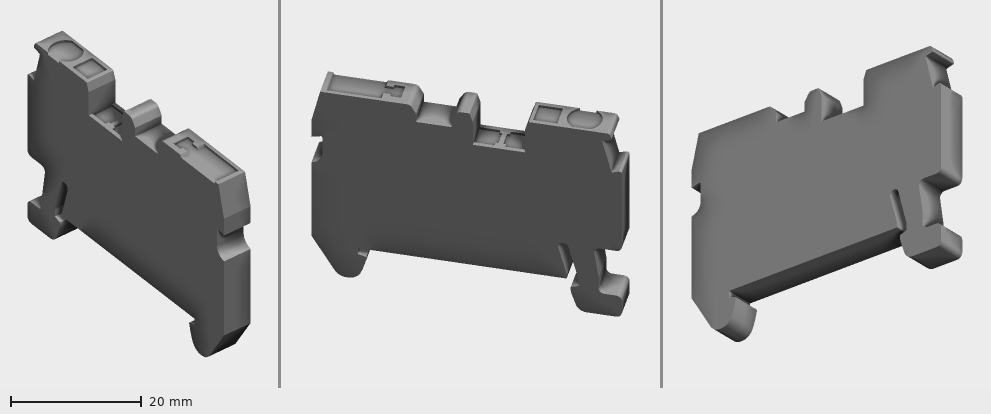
import cadquery as cq
import math

LENGTH = 48.8
THICKNESS = 5.15
HEIGHT = 35.4

ENTRY_LEFT = 15.25
ENTRY_RIGHT = 23.4
ENTRY_FLOOR = 29.4
TEST_LEFT = 26.75
TEST_RIGHT = 32.35
TEST_FLOOR = 32.2
BEVEL_START = 33.8
ENTRY_BEVEL = 0.55
RIDGE_BEVEL = 1.0
MARKER_BEVEL = 0.95
RIGHT_TAPER = 1.35
RIGHT_TAPER_START = 29.55

LIP_X = 1.5
LIP_LEAN = 0.45
LIP_CORNER = 34.25
LIP_UNDERSIDE = 33.85
RECESS_TOP_X = 3.1
RECESS_BOTTOM_X = 1.6
LEDGE_TOP = 28.3
LEDGE_WIDTH = 0.5
LEDGE_GROOVE = 27.9

LATCH_X = 47.1
LATCH_TOP = 26.8
LATCH_BOTTOM = 22.05
LATCH_LIP = 26.35
LATCH_EXIT = 21.35

SEAT_Z = 6.0
BODY_BOTTOM = 12.8
LEG_TOP_X = 4.5
LEG_X = 3.65
LEG_BEND = 7.12
TOE_TOP = 4.1
SLOT_X = 6.85
SLOT_BEND = 6.35
SLOT_BEND_STEP = 0.45
SLOT_WIDTH = 1.8
SLOT_LEAN = math.radians(15)
SLOT_END_RADIUS = 0.8
FOOT_TIP_X = 8.05
FOOT_LEAN = 1.2
FOOT_LEAN_START = 3.6
FOOT_SIDE_RADIUS = 2.95
FOOT_RADIUS = 1.75
HOOK_TIP_X = 40.1
HOOK_SIDE_X = 40.6
HOOK_SIDE_Z = 2.4
HOOK_SIDE_RADIUS = 9.75
HOOK_NOSE_X = 41.6
SEAT_RIGHT = 41.55
CLAW_INNER = 4.9
CLAW_TIP = 4.5
HOOK_SLOPE_TOP = 7.12
HOOK_SLOPE_FOOT_X = 44.5
HOOK_RADIUS = 2.25

EDGE_RADIUS = 0.2
LEDGE_RADIUS = 0.4
LIP_RADIUS = 0.55
RECESS_RADIUS = 0.25
BODY_RADIUS = 0.95
SHOULDER_RADIUS = 1.0
LATCH_RADIUS = 1.85

POCKET_DEPTH = 0.45
SCREW_X = 6.5
SCREW_Y = 2.4
SCREW_RADIUS = 2.75
SCREW_FLAT_Y = 4.75
SQUARE_LEFT = 10.3
SQUARE_SIZE = 3.8
ENTRY_WEB = 1.65
ENTRY_KEY_DEPTH = 0.45
ENTRY_KEY_WIDTH = 2.55
MARKER_LEFT = 37.9
MARKER_RIGHT = 46.6
MARKER_BACK_Y = 4.6
MARKER_LEFT_DRAFT = 0.3
MARKER_RIGHT_DRAFT = 0.2
TEE_Y = 2.35
TEE_LEFT = 35.05
TEE_HEAD_LENGTH = 1.7
TEE_HEAD_WIDTH = 2.85
TEE_NECK_WIDTH = 1.8


def rounded_outline(corners):
    """Closed XZ wire through (x, z, radius) corners; radius 0 stays sharp."""
    spans = []
    for i, (x, z, radius) in enumerate(corners):
        corner = cq.Vector(x, z)
        if radius == 0:
            spans.append((corner, None, corner))
            continue
        before = cq.Vector(*corners[i - 1][:2])
        after = cq.Vector(*corners[(i + 1) % len(corners)][:2])
        back = (before - corner).normalized()
        ahead = (after - corner).normalized()
        half_angle = back.getAngle(ahead) / 2
        setback = radius / math.tan(half_angle)
        arc_gap = radius / math.sin(half_angle) - radius
        middle = corner + (back + ahead).normalized() * arc_gap
        spans.append((corner + back * setback, middle, corner + ahead * setback))

    wire = cq.Workplane("XZ").moveTo(*spans[0][2].toTuple()[:2])
    for start, middle, end in spans[1:] + spans[:1]:
        wire = wire.lineTo(*start.toTuple()[:2])
        if middle is not None:
            wire = wire.threePointArc(middle.toTuple()[:2], end.toTuple()[:2])
    return wire


def housing():
    """Full-thickness profile, listed clockwise from the upper left lip."""
    top_side = [
        (LIP_X + LIP_LEAN, HEIGHT, LIP_RADIUS),
        (ENTRY_LEFT - ENTRY_BEVEL, HEIGHT, EDGE_RADIUS),
        (ENTRY_LEFT, BEVEL_START, 0),
        (ENTRY_LEFT, ENTRY_FLOOR, 0),
        (ENTRY_RIGHT, ENTRY_FLOOR, 0),
        (ENTRY_RIGHT, BEVEL_START, 0),
        (ENTRY_RIGHT + ENTRY_BEVEL, HEIGHT, EDGE_RADIUS),
        (TEST_LEFT - RIDGE_BEVEL, HEIGHT, SHOULDER_RADIUS),
        (TEST_LEFT, BEVEL_START, 0),
        (TEST_LEFT, TEST_FLOOR, 0),
        (TEST_RIGHT, TEST_FLOOR, 0),
        (TEST_RIGHT, BEVEL_START, 0),
        (TEST_RIGHT + MARKER_BEVEL, HEIGHT, SHOULDER_RADIUS),
    ]
    right_end = [
        (LENGTH - RIGHT_TAPER, HEIGHT, 0),
        (LENGTH, RIGHT_TAPER_START, 0),
        (LENGTH, LATCH_LIP, 0),
        (LATCH_X, LATCH_TOP, EDGE_RADIUS),
        (LATCH_X, LATCH_BOTTOM, LATCH_RADIUS),
        (LENGTH, LATCH_EXIT, 0),
    ]
    right_hook = [
        (LENGTH, HOOK_SLOPE_TOP, 0),
        (HOOK_SLOPE_FOOT_X, 0, HOOK_RADIUS),
        (HOOK_NOSE_X, 0, HOOK_RADIUS),
        (HOOK_SIDE_X, HOOK_SIDE_Z, HOOK_SIDE_RADIUS),
        (HOOK_TIP_X, CLAW_TIP, EDGE_RADIUS),
        (SEAT_RIGHT, CLAW_INNER, 0),
        (SEAT_RIGHT, SEAT_Z, 0),
    ]
    slot_end_x = SLOT_X + (BODY_BOTTOM - SLOT_BEND) * math.tan(SLOT_LEAN)
    slot_right_rise = BODY_BOTTOM - SLOT_BEND - SLOT_BEND_STEP
    slot_right_end_x = SLOT_X + SLOT_WIDTH + slot_right_rise * math.tan(SLOT_LEAN)
    slot = [
        (SLOT_X + SLOT_WIDTH, SEAT_Z, EDGE_RADIUS),
        (SLOT_X + SLOT_WIDTH, SLOT_BEND + SLOT_BEND_STEP, 0),
        (slot_right_end_x, BODY_BOTTOM, SLOT_END_RADIUS),
        (slot_end_x, BODY_BOTTOM, SLOT_END_RADIUS),
        (SLOT_X, SLOT_BEND, 0),
    ]
    left_foot = [
        (SLOT_X, CLAW_INNER, 0),
        (FOOT_TIP_X, CLAW_TIP, EDGE_RADIUS),
        (FOOT_TIP_X, FOOT_LEAN_START, FOOT_SIDE_RADIUS),
        (FOOT_TIP_X - FOOT_LEAN, 0, FOOT_RADIUS),
        (0, 0, BODY_RADIUS),
        (0, TOE_TOP, BODY_RADIUS),
        (LEG_X, TOE_TOP, BODY_RADIUS),
        (LEG_X, LEG_BEND, 0),
        (LEG_TOP_X, BODY_BOTTOM, BODY_RADIUS),
    ]
    left_end = [
        (0, BODY_BOTTOM, BODY_RADIUS),
        (0, LEDGE_TOP, LEDGE_RADIUS),
        (LEDGE_WIDTH, LEDGE_TOP, 0),
        (RECESS_BOTTOM_X, LEDGE_GROOVE, 0),
        (RECESS_TOP_X, LIP_UNDERSIDE, RECESS_RADIUS),
        (LIP_X, LIP_CORNER, RECESS_RADIUS),
    ]
    corners = top_side + right_end + right_hook + slot + left_foot + left_end
    return rounded_outline(corners).close().extrude(-THICKNESS)


def box_pocket(x_start, x_end, width, y_center, top):
    """Rectangular cutter sunk by the pocket depth below a face at height top."""
    size_x = x_end - x_start
    return cq.Workplane("XY").box(size_x, width, POCKET_DEPTH).translate(
        ((x_start + x_end) / 2, y_center, top - POCKET_DEPTH / 2)
    )


def screw_pocket():
    """Round pocket with a flat at the back, breaking out through the front face."""
    disc = (
        cq.Workplane("XY", origin=(SCREW_X, SCREW_Y, HEIGHT))
        .circle(SCREW_RADIUS)
        .extrude(-POCKET_DEPTH)
    )
    keep = box_pocket(
        SCREW_X - SCREW_RADIUS, SCREW_X + SCREW_RADIUS, 2 * SCREW_FLAT_Y, 0, HEIGHT
    )
    return disc.intersect(keep)


def entry_pocket(wall_x, web_x):
    """Pocket from a notch wall towards the middle web, with a narrower key at its end."""
    y_center = THICKNESS / 2
    key_reach = math.copysign(ENTRY_KEY_DEPTH, web_x - wall_x)
    key_x = web_x + key_reach
    main = box_pocket(min(wall_x, web_x), max(wall_x, web_x), SQUARE_SIZE, y_center, ENTRY_FLOOR)
    key = box_pocket(min(wall_x, key_x), max(wall_x, key_x), ENTRY_KEY_WIDTH, y_center, ENTRY_FLOOR)
    return main.union(key)


def marker_pocket():
    """Label pocket with drafted ends, open at the front face, plus its T-shaped tail."""
    floor = HEIGHT - POCKET_DEPTH
    floor_left = MARKER_LEFT + MARKER_LEFT_DRAFT
    label = (
        cq.Workplane("XZ")
        .moveTo(MARKER_LEFT, HEIGHT)
        .lineTo(MARKER_RIGHT, HEIGHT)
        .lineTo(MARKER_RIGHT - MARKER_RIGHT_DRAFT, floor)
        .lineTo(floor_left, floor)
        .close()
        .extrude(-MARKER_BACK_Y)
    )
    tee_head_end = TEE_LEFT + TEE_HEAD_LENGTH
    head = box_pocket(TEE_LEFT, tee_head_end, TEE_HEAD_WIDTH, TEE_Y, HEIGHT)
    neck = box_pocket(tee_head_end, floor_left, TEE_NECK_WIDTH, TEE_Y, HEIGHT)
    return label.union(head).union(neck)


entry_middle = (ENTRY_LEFT + ENTRY_RIGHT) / 2
square_pocket = box_pocket(
    SQUARE_LEFT, SQUARE_LEFT + SQUARE_SIZE, SQUARE_SIZE, THICKNESS / 2, HEIGHT
)

result = (
    housing()
    .cut(screw_pocket())
    .cut(square_pocket)
    .cut(entry_pocket(ENTRY_LEFT, entry_middle - ENTRY_WEB / 2))
    .cut(entry_pocket(ENTRY_RIGHT, entry_middle + ENTRY_WEB / 2))
    .cut(marker_pocket())
)